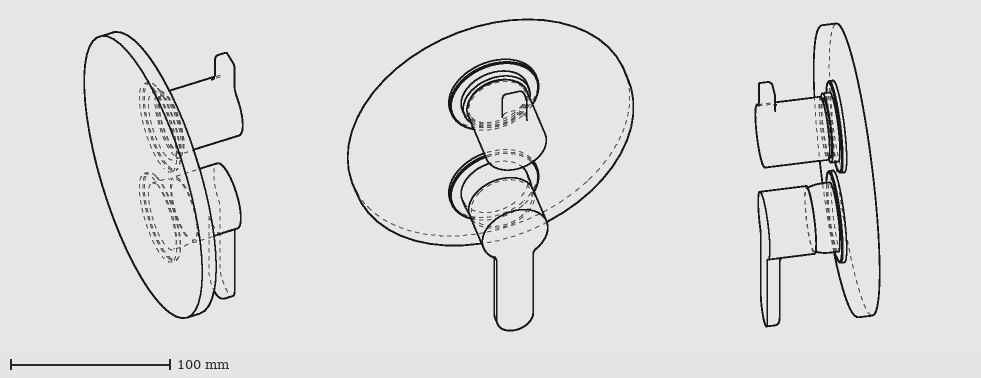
import cadquery as cq
import math

plate_diameter = 185.0
plate_radius = plate_diameter / 2
plate_thickness = 10.0
plate_edge_round = 1.3

control_offset = 40.0
flange_radius = 29.1
flange_back = 13.0
flange_chamfer = 0.7
collar_radius = 22.0

upper_collar_back = 17.6
neck_radius = 19.0
upper_knob_radius = 20.0
upper_knob_front = 19.1
upper_knob_back = 59.8
upper_knob_edge_round = 0.7
upper_lever_width = 14.4
upper_lever_thickness = 8.5
upper_lever_top = 82.0

lower_collar_back = 19.0
lower_knob_radius = 21.5
lower_knob_front = 28.0
lower_knob_back = 57.6
lower_lever_width = 24.0
lower_lever_thickness = 8.5
total_height = 217.5
lower_lever_bottom = plate_radius - total_height

lever_edge_round = 3.0
upper_lever_blend = 7.0
lower_lever_blend = 5.0


def disc(radius, front, back, axis_height=0):
    """Solid cylinder along Y between two Y positions."""
    return (
        cq.Workplane("XZ", origin=(0, front, 0))
        .center(0, axis_height)
        .circle(radius)
        .extrude(front - back)
    )


def lever_blank(width, thickness, back, low, high):
    """Upright bar whose back face is at Y = back."""
    return (
        cq.Workplane("XY")
        .box(width, thickness, high - low, centered=(True, False, False))
        .translate((0, back - thickness, low))
    )


def blend_seam(control, knob_radius, axis_height, lever_front, knob_back, blend):
    """Fillet the seam between a lever and the round wall of its knob."""
    tolerance = 0.02

    def on_seam(edge):
        middle = edge.positionAt(0.5)
        reach = math.hypot(middle.x, middle.z - axis_height)
        box = edge.BoundingBox()
        on_wall = abs(reach - knob_radius) < tolerance
        beside_lever = lever_front - tolerance < box.ymin < knob_back - tolerance
        return on_wall and beside_lever

    seam = [edge for edge in control.edges().vals() if on_seam(edge)]
    return control.newObject(seam).fillet(blend)


def make_plate():
    plate = disc(plate_radius, 0, plate_thickness)
    return plate.faces(">Y").edges().fillet(plate_edge_round)


def make_flange(axis_height):
    flange = disc(flange_radius, 0, flange_back, axis_height)
    return flange.faces(">Y").edges().chamfer(flange_chamfer)


def make_upper_knob():
    lever_front = upper_knob_back - upper_lever_thickness
    lever = lever_blank(
        upper_lever_width, upper_lever_thickness, upper_knob_back, control_offset, upper_lever_top
    )
    lever = lever.edges("|Y and >Z").fillet(lever_edge_round)
    lever = lever.faces("<Y").edges("not <Z").fillet(lever_edge_round)
    knob = disc(upper_knob_radius, upper_knob_front, upper_knob_back, control_offset).union(lever)
    knob = blend_seam(
        knob, upper_knob_radius, control_offset, lever_front, upper_knob_back, upper_lever_blend
    )
    return knob.faces(">Y").edges().fillet(upper_knob_edge_round)


def make_lower_knob():
    lever_front = lower_knob_back - lower_lever_thickness
    end_radius = lower_lever_width / 2
    end_centre = lower_lever_bottom + end_radius
    lever = lever_blank(
        lower_lever_width, lower_lever_thickness, lower_knob_back, end_centre, -control_offset
    )
    lever = lever.union(disc(end_radius, lever_front, lower_knob_back, end_centre))
    lever = lever.faces("<Y").edges("not >Z").fillet(lever_edge_round)
    knob = disc(lower_knob_radius, lower_knob_front, lower_knob_back, -control_offset).union(lever)
    return blend_seam(
        knob, lower_knob_radius, -control_offset, lever_front, lower_knob_back, lower_lever_blend
    )


def make_lower_collar():
    """Straight collar that closes in along a ball of its own radius up to the knob."""
    dome_length = lower_knob_front - lower_collar_back
    tip_radius = math.sqrt(collar_radius**2 - dome_length**2)
    half_length = dome_length / 2
    half_radius = math.sqrt(collar_radius**2 - half_length**2)
    collar = (
        cq.Workplane("XY")
        .lineTo(collar_radius, 0)
        .lineTo(collar_radius, lower_collar_back)
        .threePointArc((half_radius, lower_collar_back + half_length), (tip_radius, lower_knob_front))
        .lineTo(0, lower_knob_front)
        .close()
        .revolve(360, (0, 0, 0), (0, 1, 0))
    )
    return collar.translate((0, 0, -control_offset))


result = (
    make_plate()
    .union(make_flange(control_offset))
    .union(disc(collar_radius, 0, upper_collar_back, control_offset))
    .union(disc(neck_radius, 0, upper_knob_front, control_offset))
    .union(make_upper_knob())
    .union(make_flange(-control_offset))
    .union(make_lower_collar())
    .union(make_lower_knob())
)